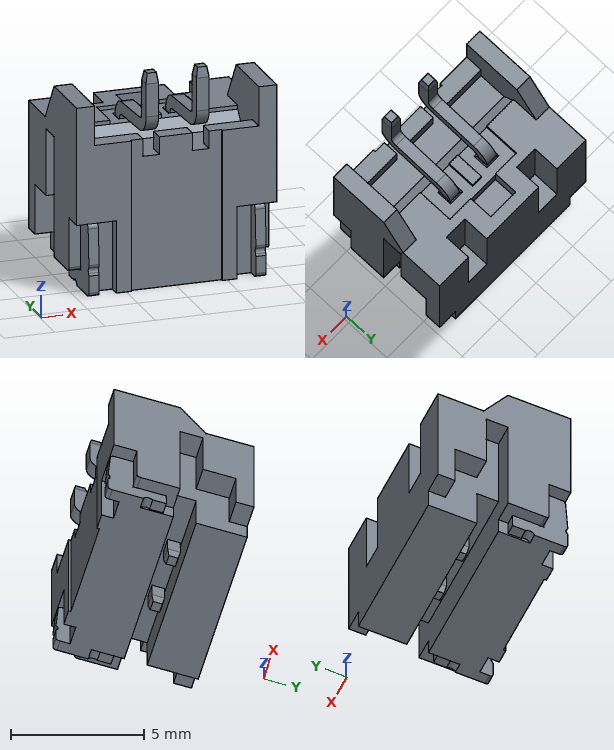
import cadquery as cq
import math


width = 7.95
depth = 5.5
deck_z = 6.0
half_width = width / 2

ear_z = 7.57
ear_inner_x = 3.26
ear_slope_top_y = 2.6
ear_slope_foot_y = 3.61

panel_half_width = 1.81
panel_depth = 0.095
tray_drop = 0.16
tray_z = deck_z - tray_drop
tray_back_y = 3.96

trough_z = 5.3
trough_front_y = 0.74
trough_back_y = 1.94
slope_top_y = 2.42

window_half_width = 0.675
window_back_y = 5.01
rib_width = 0.48
rib_back_y = 3.65
rear_notch_inner_x = 1.41
rear_notch_outer_x = 2.405
rear_notch_front_y = 4.36
rear_notch_floor_z = 2.89

opening_x = 0.99
opening_size = 0.66
opening_back_y = 3.53
funnel_depth = 0.08

end_wall_x = 3.11
recess_z = 2.89
recess_back_y = 4.79
recess_step_z = 0.9
slot_front_y = 2.595
slot_back_y = 3.495
slot_top_z = 5.545
passage_z = 1.89

clip_outer_x = 3.52
corner_inner_x = 2.4
corner_back_y = 0.9
corner_inner_back_y = 0.47
foot_gap_z = 0.74
foot_gap_radius = 0.15
clip_top_z = 2.86
clip_front_y = -0.09
clip_top_round_z = 2.69
clip_dent_top_z = 1.26
clip_dent_bottom_z = 0.84
dent_groove_top_z = 1.14
dent_groove_bottom_z = 0.93
dent_groove_edge = 0.04
dent_groove_depth = 0.08
clip_bottom_round = 0.16
foot_end_y = 2.2
foot_raise = 0.095
groove_back_y = 1.66
groove_front_y = 1.3
groove_peak_z = 0.165

pin_x = 1.0
pin_size = 0.5
pin_front_y = -0.095
pin_back_y = 3.45
pin_top_z = 8.65
pin_bottom_z = 0.68
pin_bend_z = 6.93
pin_run_tilt = 3.0
bend_inner = 0.25
tip_length = 0.41
tip_size = 0.36


def block(x0, x1, y0, y1, z0, z1):
    """Box between two opposite corners."""
    return cq.Workplane("XY").box(x1 - x0, y1 - y0, z1 - z0, centered=False).translate((x0, y0, z0))


def both_ends(shape):
    """A shape together with its mirror image across X = 0."""
    return shape.union(shape.mirror("YZ"))


def extrude_yz(profile, x0, x1):
    """Extrude a closed profile, drawn on the YZ plane, from x0 to x1."""
    return profile.extrude(x1 - x0).translate((x0, 0, 0))


def housing_block():
    ear = cq.Workplane("YZ").polyline([
        (0, 0), (depth, 0), (depth, deck_z), (ear_slope_foot_y, deck_z),
        (ear_slope_top_y, ear_z), (0, ear_z),
    ]).close()
    body = extrude_yz(ear, -half_width, half_width)
    return body.cut(block(-ear_inner_x, ear_inner_x, 0, depth, deck_z, ear_z))


def cut_deck(body):
    tray = block(-panel_half_width, panel_half_width, slope_top_y, tray_back_y, tray_z, deck_z)
    rib = block(-rib_width / 2, rib_width / 2, slope_top_y, rib_back_y, tray_z, deck_z)
    body = body.cut(tray.cut(rib))

    trough = cq.Workplane("YZ").polyline([
        (trough_front_y, deck_z), (trough_front_y, trough_z), (trough_back_y, trough_z),
        (slope_top_y, tray_z), (slope_top_y, deck_z),
    ]).close()
    body = body.cut(extrude_yz(trough, -ear_inner_x, ear_inner_x))

    window = block(-window_half_width, window_half_width, tray_back_y, window_back_y, trough_z, deck_z)
    rear_notch = block(rear_notch_inner_x, rear_notch_outer_x, rear_notch_front_y, depth,
                       rear_notch_floor_z, deck_z)
    return body.cut(window).cut(both_ends(rear_notch))


def cut_front(body):
    panel = block(-panel_half_width, panel_half_width, 0, panel_depth, 0, deck_z)
    return body.cut(panel)


def cut_pin_openings(body):
    x0 = opening_x - opening_size / 2
    x1 = opening_x + opening_size / 2
    front_gap = block(x0, x1, 0, trough_front_y, trough_z, deck_z)
    funnel = (
        cq.Workplane("XY", origin=(opening_x, opening_back_y - opening_size / 2, tray_z))
        .rect(opening_size, opening_size)
        .workplane(offset=-funnel_depth)
        .rect(pin_size, pin_size)
        .loft(ruled=True)
    )
    return body.cut(both_ends(front_gap.union(funnel)))


def cut_end_recesses(body):
    low = block(end_wall_x, half_width, slot_back_y, recess_back_y, 0, recess_z)
    step = block(end_wall_x, half_width, recess_back_y, depth, 0, recess_step_z)
    slot = block(end_wall_x, half_width, slot_front_y, slot_back_y, 0, slot_top_z)
    passage = block(-half_width, half_width, slot_front_y, slot_back_y, 0, passage_z)
    return body.cut(both_ends(low.union(step).union(slot))).cut(passage)


def cut_clip_corners(body):
    corner = block(end_wall_x, half_width, 0, corner_back_y, 0, recess_z)
    corner = corner.union(block(corner_inner_x, end_wall_x, 0, corner_inner_back_y, 0, recess_z))
    radius = foot_gap_radius
    gap = (
        cq.Workplane("YZ")
        .moveTo(0, 0)
        .lineTo(slot_front_y, 0)
        .lineTo(slot_front_y, foot_gap_z)
        .lineTo(corner_back_y + radius, foot_gap_z)
        .radiusArc((corner_back_y, foot_gap_z + radius), radius)
        .lineTo(0, foot_gap_z + radius)
        .close()
    )
    return body.cut(both_ends(corner)).cut(both_ends(extrude_yz(gap, end_wall_x, half_width)))


def clip():
    """L-shaped clip: an upright leg at the front and a foot running back under the end wall."""
    dent_edge_y = clip_front_y + dent_groove_edge
    dent_middle = (clip_front_y + dent_groove_depth, (dent_groove_top_z + dent_groove_bottom_z) / 2)
    groove_mid_y = (groove_back_y + groove_front_y) / 2
    diagonal = 1 - math.sqrt(0.5)
    round_mid = clip_bottom_round * diagonal
    top_round = clip_top_z - clip_top_round_z
    profile = (
        cq.Workplane("YZ")
        .moveTo(corner_back_y, clip_top_z)
        .lineTo(top_round, clip_top_z)
        .threePointArc((top_round * diagonal, clip_top_z - top_round * diagonal), (0, clip_top_round_z))
        .lineTo(clip_front_y, clip_dent_top_z)
        .tangentArcPoint((dent_edge_y, dent_groove_top_z), relative=False)
        .threePointArc(dent_middle, (dent_edge_y, dent_groove_bottom_z))
        .lineTo(clip_front_y, clip_dent_bottom_z)
        .lineTo(clip_front_y, clip_bottom_round)
        .threePointArc((clip_front_y + round_mid, round_mid), (clip_front_y + clip_bottom_round, 0))
        .lineTo(groove_front_y, 0)
        .threePointArc((groove_mid_y, groove_peak_z), (groove_back_y, foot_raise))
        .lineTo(foot_end_y, foot_raise)
        .lineTo(foot_end_y, foot_gap_z)
        .lineTo(corner_back_y, foot_gap_z)
        .close()
    )
    return extrude_yz(profile, end_wall_x, clip_outer_x)


def pin_tip(y, z, direction):
    """Square taper that starts at height z and narrows along direction (+1 up, -1 down)."""
    return (
        cq.Workplane("XY", origin=(pin_x, y, z))
        .rect(pin_size, pin_size)
        .workplane(offset=direction * tip_length)
        .rect(tip_size, tip_size)
        .loft(ruled=True)
    )


def pin():
    """Pin rising from the housing, bending forward over the deck, then bending up again."""
    radius = bend_inner + pin_size / 2
    back = pin_back_y - pin_size / 2
    front = pin_front_y + pin_size / 2
    low_end = pin_bottom_z + tip_length
    high_end = pin_top_z - tip_length

    tilt = math.radians(pin_run_tilt)
    bend_y = radius * (1 - math.sin(tilt))
    bend_z = radius * math.cos(tilt)
    run_front = (front + bend_y, pin_bend_z - bend_z)
    run_back_y = back - bend_y
    run_back = (run_back_y, run_front[1] - (run_back_y - run_front[0]) * math.tan(tilt))

    path = (
        cq.Workplane("YZ", origin=(pin_x, 0, 0))
        .moveTo(back, low_end)
        .lineTo(back, run_back[1] - bend_z)
        .radiusArc(run_back, -radius)
        .lineTo(*run_front)
        .radiusArc((front, pin_bend_z), radius)
        .lineTo(front, high_end)
    )
    shank = cq.Workplane("XY", origin=(pin_x, back, low_end)).rect(pin_size, pin_size).sweep(path)
    return shank.union(pin_tip(back, low_end, -1)).union(pin_tip(front, high_end, 1))


housing = housing_block()
housing = cut_deck(housing)
housing = cut_front(housing)
housing = cut_pin_openings(housing)
housing = cut_end_recesses(housing)
housing = cut_clip_corners(housing)

result = housing.union(both_ends(clip())).union(both_ends(pin()))